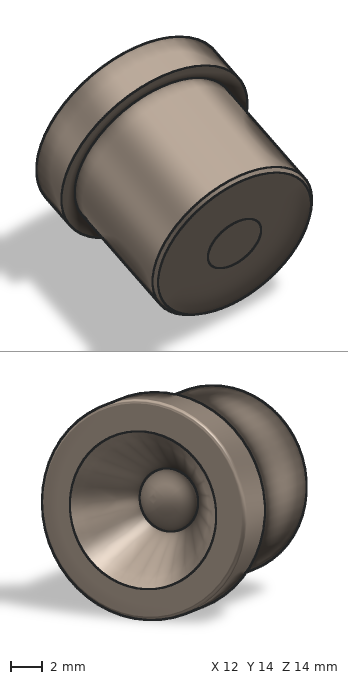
import cadquery as cq
import math

length = 12.0
flange_diameter = 14.0
flange_thickness = 3.0
body_diameter = 12.0
flange_edge_radius = 0.25
body_edge_chamfer = 0.25

mouth_diameter = 10.0
bore_diameter = 4.0
funnel_depth = 4.0

dome_radius = 8.0
dome_height = dome_radius - math.sqrt(dome_radius**2 - (bore_diameter / 2) ** 2)
dome_tip = funnel_depth - dome_height


def make_bushing():
    flange = cq.Workplane("YZ").circle(flange_diameter / 2).extrude(flange_thickness)
    flange = flange.faces("<X").edges().fillet(flange_edge_radius)
    body = cq.Workplane("YZ").circle(body_diameter / 2).extrude(length)
    body = body.faces(">X").edges().chamfer(body_edge_chamfer)
    opening = (
        cq.Workplane("XY")
        .lineTo(0, mouth_diameter / 2)
        .lineTo(funnel_depth, bore_diameter / 2)
        .lineTo(length, bore_diameter / 2)
        .lineTo(length, 0)
        .close()
        .revolve(360, (0, 0, 0), (1, 0, 0))
    )
    return flange.union(body).cut(opening)


def make_pin():
    pin_radius = bore_diameter / 2
    return (
        cq.Workplane("XY")
        .moveTo(dome_tip, 0)
        .radiusArc((funnel_depth, pin_radius), dome_radius)
        .lineTo(length, pin_radius)
        .lineTo(length, 0)
        .close()
        .revolve(360, (0, 0, 0), (1, 0, 0))
    )


bushing = make_bushing()
pin = make_pin()
result = cq.Compound.makeCompound([bushing.val(), pin.val()])